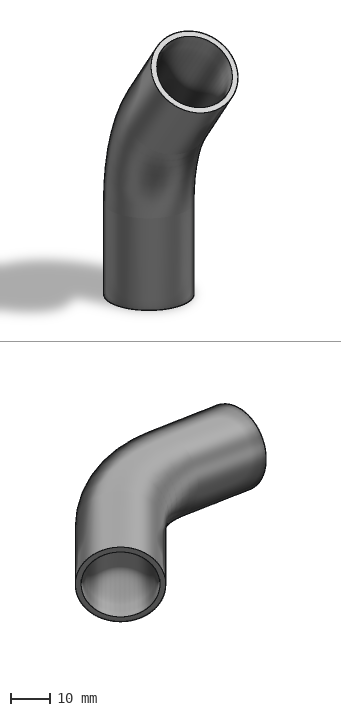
import cadquery as cq
import math

overall_height = 79.15
outer_diameter = 23.0
bore_diameter = 20.0
bend_radius = 40.0
bend_angle = 45.0

sin_bend = math.sin(math.radians(bend_angle))
cos_bend = math.cos(math.radians(bend_angle))
rim_rise = outer_diameter / 2 * sin_bend
end_length = (overall_height - bend_radius * sin_bend - rim_rise) / (1 + cos_bend)

bend_end = (bend_radius * (1 - cos_bend), 0, end_length + bend_radius * sin_bend)
outlet_direction = (sin_bend, 0, cos_bend)


def bent_rod(diameter):
    """Solid rod: vertical inlet, circular bend, then tilted outlet."""
    inlet = cq.Workplane("XY").circle(diameter / 2).extrude(end_length)
    bend = (
        cq.Workplane("XY", origin=(0, 0, end_length))
        .circle(diameter / 2)
        .revolve(bend_angle, (bend_radius, 0), (bend_radius, 1))
    )
    outlet_plane = cq.Plane(origin=bend_end, xDir=(0, 1, 0), normal=outlet_direction)
    outlet = cq.Workplane(outlet_plane).circle(diameter / 2).extrude(end_length)
    return inlet.union(bend).union(outlet)


result = bent_rod(outer_diameter).cut(bent_rod(bore_diameter))